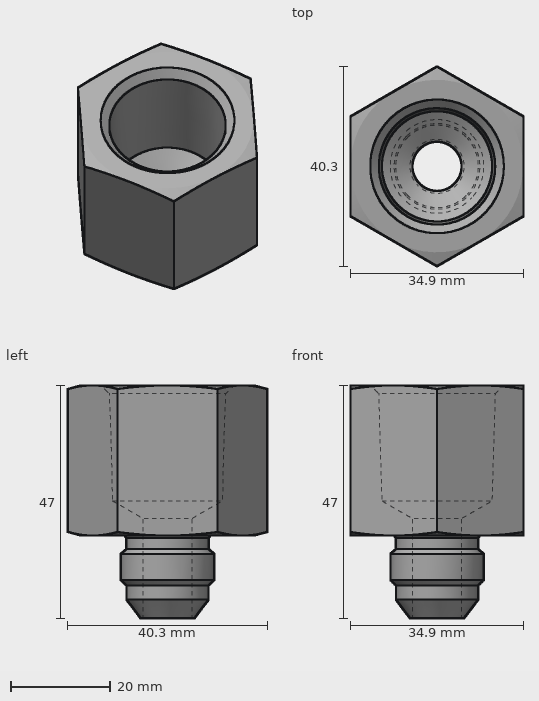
import cadquery as cq
import math

total_height = 47.0
across_flats = 34.9
body_bottom = 16.7
body_height = total_height - body_bottom
across_corners = across_flats / math.cos(math.radians(30))
face_diameter = 34.75
corner_chamfer_angle = 15.0

tip_diameter = 10.9
lower_neck_diameter = 16.65
band_diameter = 18.9
upper_neck_diameter = 16.7
flare_diameter = 17.3
tip_cone_top = 3.75
lower_neck_top = 6.63
band_bottom = 7.75
band_top = 13.0
upper_neck_bottom = 13.95
upper_neck_top = 16.2

mouth_diameter = 26.95
bore_top_diameter = 23.5
bore_bottom_diameter = 22.23
hole_diameter = 9.85
mouth_depth = 1.7
bore_depth = 23.3
floor_angle = 30.0


def revolve_profile(stations):
    """Turn (diameter, height) stations into a solid around the Z axis."""
    first_height = stations[0][1]
    last_height = stations[-1][1]
    outline = [(0, first_height)]
    outline += [(diameter / 2, height) for diameter, height in stations]
    outline.append((0, last_height))
    return cq.Workplane("XZ").polyline(outline).close().revolve(360, (0, 0), (0, 1))


def make_body():
    """Hexagonal prism with its corners turned off at both ends."""
    prism = (
        cq.Workplane("XY")
        .workplane(offset=body_bottom)
        .polygon(6, across_corners)
        .extrude(body_height)
        .rotate((0, 0, 0), (0, 0, 1), 30)
    )
    chamfer_width = (across_corners - face_diameter) / 2
    chamfer_height = chamfer_width * math.tan(math.radians(corner_chamfer_angle))
    envelope = revolve_profile([
        (face_diameter, body_bottom),
        (across_corners, body_bottom + chamfer_height),
        (across_corners, total_height - chamfer_height),
        (face_diameter, total_height),
    ])
    return prism.intersect(envelope)


def make_stem():
    """Stem with a conical tip and a raised band between two necks."""
    return revolve_profile([
        (tip_diameter, 0),
        (lower_neck_diameter, tip_cone_top),
        (lower_neck_diameter, lower_neck_top),
        (band_diameter, band_bottom),
        (band_diameter, band_top),
        (upper_neck_diameter, upper_neck_bottom),
        (upper_neck_diameter, upper_neck_top),
        (flare_diameter, body_bottom),
    ])


def make_socket():
    """Space removed by the socket, its conical floor and the through hole."""
    bore_bottom = total_height - bore_depth
    floor_drop = (bore_bottom_diameter - hole_diameter) / 2 * math.tan(math.radians(floor_angle))
    return revolve_profile([
        (hole_diameter, 0),
        (hole_diameter, bore_bottom - floor_drop),
        (bore_bottom_diameter, bore_bottom),
        (bore_top_diameter, total_height - mouth_depth),
        (mouth_diameter, total_height),
    ])


result = make_body().union(make_stem()).cut(make_socket())